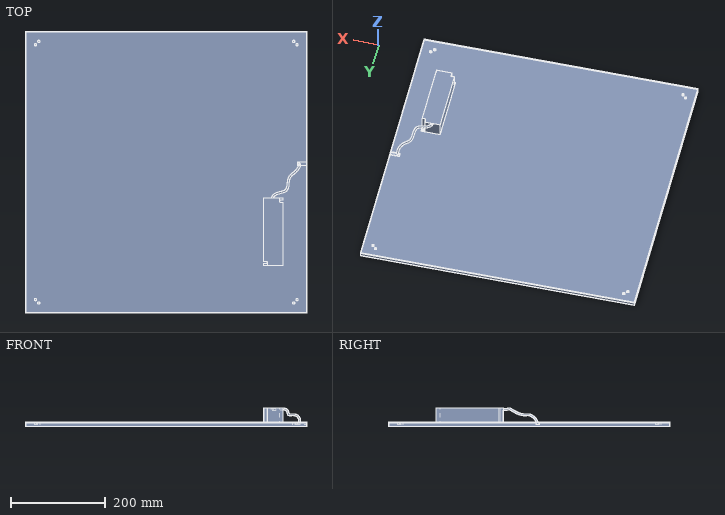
import cadquery as cq

panel_size = 595.0
rim_height = 9.5
rim_width = 0.5
panel_thickness = 7.0
total_height = 40.0
pocket_depth = 2.5
pocket_floor = panel_thickness - pocket_depth
overlap = 2.0

hole_diameter = 5.0
hole_near = 21.0
hole_far = 28.0

box_width = 41.0
box_length = 143.0
box_x = 226.5
box_y = -126.0
box_height = total_height - panel_thickness

notch_width = 8.0
notch_length = 9.0
notch_radius = 2.5
foot_thickness = 2.0
foot_slot_width = 5.0

recess_start = 277.0
recess_y = 18.0
recess_width = 8.0

cable_diameter = 4.0
cable_top = 37.0
box_end_y = box_y + box_length / 2
cable_points = [
    (224.0, box_end_y - overlap, cable_top),
    (234.0, -45.0, cable_top),
    (253.0, -38.5, 36.0),
    (257.5, -25.0, 28.5),
    (260.5, -11.5, 25.0),
    (273.5, 2.0, 24.5),
    (281.0, 11.5, 18.0),
    (279.5, recess_y, pocket_floor - overlap),
]


def make_panel():
    slab = cq.Workplane("XY").box(panel_size, panel_size, rim_height, centered=(True, True, False))
    inner_size = panel_size - 2 * rim_width
    inside_rim = (
        cq.Workplane("XY", origin=(0, 0, panel_thickness))
        .rect(inner_size, inner_size)
        .extrude(rim_height - panel_thickness)
    )
    return slab.cut(inside_rim)


def make_screw_holes():
    near = panel_size / 2 - hole_near
    far = panel_size / 2 - hole_far
    centers = []
    for side_x in (-1, 1):
        for side_y in (-1, 1):
            centers.append((side_x * near, side_y * far))
            centers.append((side_x * far, side_y * near))
    return (
        cq.Workplane("XY", origin=(0, 0, pocket_floor))
        .pushPoints(centers)
        .circle(hole_diameter / 2)
        .extrude(pocket_depth)
    )


def make_cable_recess():
    recess_length = panel_size / 2 - rim_width - recess_start
    return (
        cq.Workplane("XY", origin=(recess_start + recess_length / 2, recess_y, pocket_floor))
        .rect(recess_length, recess_width)
        .extrude(pocket_depth)
    )


def make_corner_cut():
    """Cut for the -X, -Y corner of a box centred on the Z axis."""
    notch = (
        cq.Workplane("XY", origin=(-box_width / 2, -box_length / 2, foot_thickness))
        .rect(2 * notch_width, 2 * notch_length)
        .extrude(box_height - foot_thickness)
        .edges("|Z")
        .fillet(notch_radius)
    )
    slot_y = -box_length / 2 + notch_length - foot_slot_width / 2
    slot = (
        cq.Workplane("XY", origin=(-box_width / 2, slot_y, 0))
        .slot2D(2 * notch_width, foot_slot_width)
        .extrude(foot_thickness)
    )
    return notch.union(slot)


def make_driver_box():
    box = cq.Workplane("XY").box(box_width, box_length, box_height, centered=(True, True, False))
    for turn in (0, 180):
        box = box.cut(make_corner_cut().rotate((0, 0, 0), (0, 0, 1), turn))
    return box.translate((box_x, box_y, panel_thickness))


def make_cable():
    path = cq.Workplane("XY").spline(cable_points)
    start = cq.Plane(origin=cable_points[0], normal=path.val().tangentAt(0).toTuple())
    return cq.Workplane(start).circle(cable_diameter / 2).sweep(path)


panel = make_panel().cut(make_screw_holes()).cut(make_cable_recess())
result = panel.union(make_driver_box()).union(make_cable())